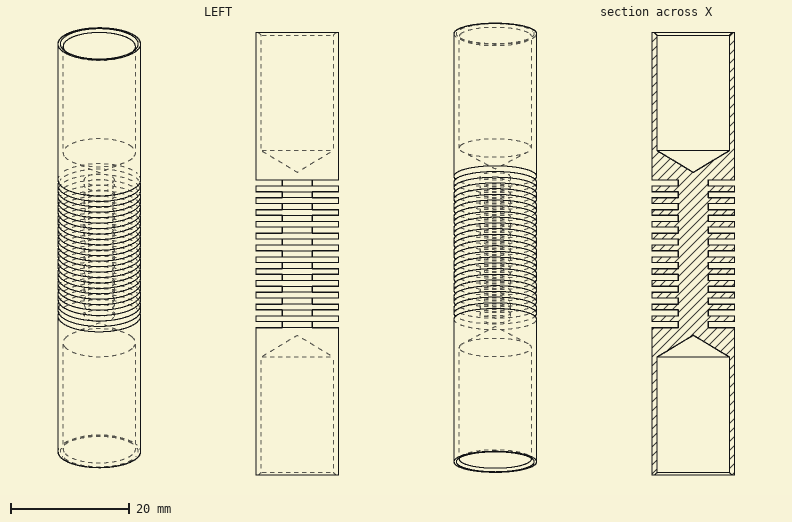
import cadquery as cq
import math

length = 75.0
body_diameter = 14.0
sleeve_length = length / 3

fin_count = 12
core_diameter = 5.1
gap_count = fin_count + 1
neck_length = length - 2 * sleeve_length
gap_height = neck_length / (fin_count + gap_count)
fin_pitch = 2 * gap_height

bore_diameter = 12.2
mouth_diameter = 13.2
bore_depth = 20.0
floor_cone_angle = 118.0
bore_radius = bore_diameter / 2
mouth_radius = mouth_diameter / 2
chamfer_depth = mouth_radius - bore_radius
floor_cone_depth = bore_radius / math.tan(math.radians(floor_cone_angle / 2))


def make_groove(bottom):
    """Ring of material removed between neighbouring fins."""
    return (
        cq.Workplane("XY")
        .workplane(offset=bottom)
        .circle(body_diameter)
        .circle(core_diameter / 2)
        .extrude(gap_height)
    )


def make_upper_socket():
    """Socket volume: chamfered mouth, straight wall and conical floor."""
    floor_edge = length - bore_depth
    return (
        cq.Workplane("XZ")
        .moveTo(0, length)
        .lineTo(mouth_radius, length)
        .lineTo(bore_radius, length - chamfer_depth)
        .lineTo(bore_radius, floor_edge)
        .lineTo(0, floor_edge - floor_cone_depth)
        .close()
        .revolve(360, (0, 0, 0), (0, 1, 0))
    )


body = cq.Workplane("XY").circle(body_diameter / 2).extrude(length)

for index in range(gap_count):
    body = body.cut(make_groove(sleeve_length + index * fin_pitch))

upper_socket = make_upper_socket()
lower_socket = upper_socket.mirror("XY", (0, 0, length / 2))
result = body.cut(upper_socket).cut(lower_socket)